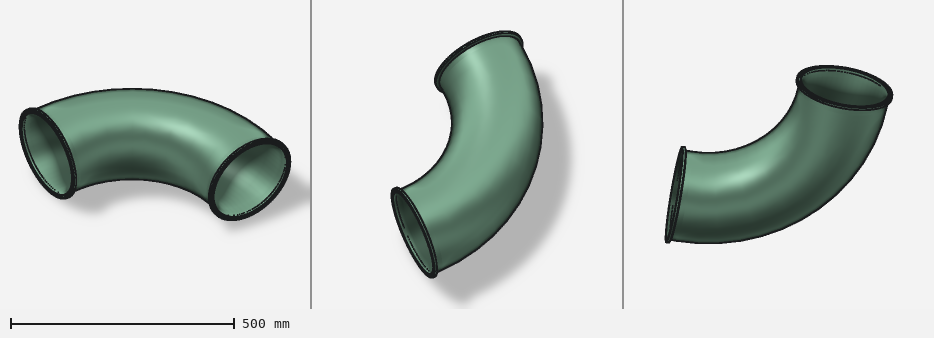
import cadquery as cq

overall_size = 436.0
flange_diameter = 217.5
tube_outer_diameter = 203.0
bore_diameter = 198.0
ferrule_length = 22.2
rim_thickness = 5.5
hub_length = 8.3
groove_inner_diameter = 203.0
groove_outer_diameter = 211.0
groove_wall_slant = 0.65
groove_wall_depth = 1.0
groove_depth = 1.7

flange_radius = flange_diameter / 2
tube_radius = tube_outer_diameter / 2
bore_radius = bore_diameter / 2
groove_inner_radius = groove_inner_diameter / 2
groove_outer_radius = groove_outer_diameter / 2
groove_center_radius = (groove_outer_radius + groove_inner_radius) / 2

bend_radius = overall_size - flange_radius - ferrule_length

inlet_face = cq.Plane(origin=(flange_radius, 0, 0), xDir=(1, 0, 0), normal=(0, -1, 0))
outlet_face = cq.Plane(
    origin=(overall_size, overall_size - flange_radius, 0), xDir=(0, 1, 0), normal=(1, 0, 0)
)


def make_bend():
    """Quarter-circle tube joining the two ferrules."""
    return (
        cq.Workplane(inlet_face)
        .workplane(offset=-ferrule_length)
        .circle(tube_radius)
        .circle(bore_radius)
        .revolve(90, (bend_radius, 0), (bend_radius, -1))
    )


def make_ferrule(face):
    """Clamp ferrule with a tapered flange and a round-bottomed gasket groove in its face."""
    profile_plane = cq.Plane(origin=face.origin, xDir=face.xDir, normal=face.zDir.cross(face.xDir))
    return (
        cq.Workplane(profile_plane)
        .moveTo(bore_radius, 0)
        .lineTo(groove_inner_radius, 0)
        .lineTo(groove_inner_radius + groove_wall_slant, groove_wall_depth)
        .threePointArc(
            (groove_center_radius, groove_depth),
            (groove_outer_radius - groove_wall_slant, groove_wall_depth),
        )
        .lineTo(groove_outer_radius, 0)
        .lineTo(flange_radius, 0)
        .lineTo(flange_radius, rim_thickness)
        .lineTo(tube_radius, hub_length)
        .lineTo(tube_radius, ferrule_length)
        .lineTo(bore_radius, ferrule_length)
        .close()
        .revolve(360, (0, 0), (0, 1))
    )


result = make_bend().union(make_ferrule(inlet_face)).union(make_ferrule(outlet_face))